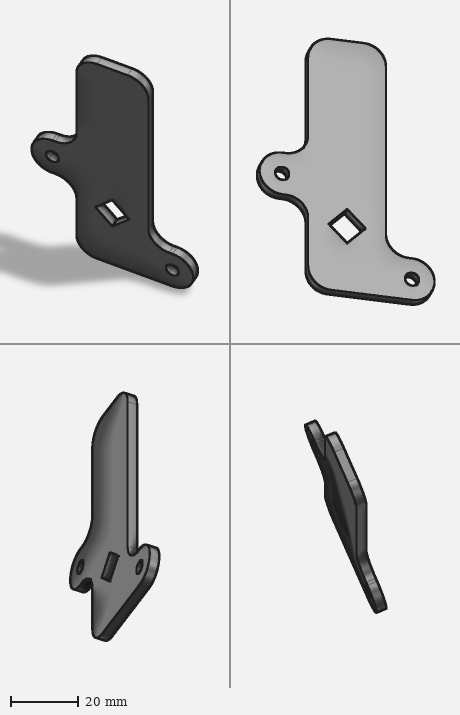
import cadquery as cq
import math

height = 84.0
overall_width = 54.0
thickness = 3.2
plate_width = 24.0
round_radius = 7.0
hole_diameter = 4.3
left_ear_z = 37.0
square_side = 8.0
square_z = 22.0

back_y = thickness / 2
half_plate = plate_width / 2
ear_x = overall_width / 2 - round_radius
corner_x = half_plate - round_radius
fillet_x = half_plate + round_radius
right_ear_z = round_radius
fillet_rise = 2 * round_radius


def add_arc(outline, center_x, center_z, start_angle, end_angle):
    """Continue the outline with a line to the arc's start, then the arc."""
    middle_angle = (start_angle + end_angle) / 2
    start, middle, end = [
        (
            center_x + round_radius * math.cos(math.radians(angle)),
            center_z + round_radius * math.sin(math.radians(angle)),
        )
        for angle in (start_angle, middle_angle, end_angle)
    ]
    return outline.lineTo(*start).threePointArc(middle, end)


outline_arcs = [
    (ear_x, right_ear_z, -90, 90),
    (fillet_x, right_ear_z + fillet_rise, 270, 180),
    (corner_x, height - round_radius, 0, 90),
    (-corner_x, height - round_radius, 90, 180),
    (-fillet_x, left_ear_z + fillet_rise, 0, -90),
    (-ear_x, left_ear_z, 90, 270),
    (-fillet_x, left_ear_z - fillet_rise, 90, 0),
    (-corner_x, round_radius, 180, 270),
]

outline = cq.Workplane("XZ", origin=(0, back_y, 0)).moveTo(-corner_x, 0)
for arc in outline_arcs:
    outline = add_arc(outline, *arc)
plate = outline.close().extrude(thickness)

ear_holes = (
    cq.Workplane("XZ", origin=(0, back_y, 0))
    .pushPoints([(-ear_x, left_ear_z), (ear_x, right_ear_z)])
    .circle(hole_diameter / 2)
    .extrude(thickness)
)

square_opening = (
    cq.Workplane("XZ", origin=(0, back_y, 0))
    .center(0, square_z)
    .transformed(rotate=(0, 0, 45))
    .rect(square_side, square_side)
    .extrude(thickness)
)

result = plate.cut(ear_holes).cut(square_opening)